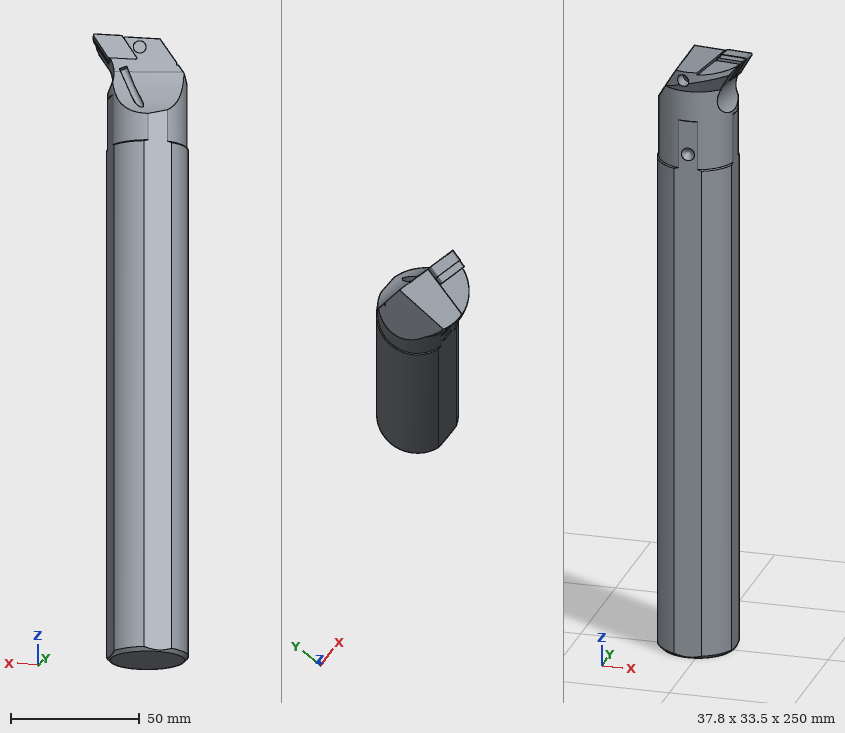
import cadquery as cq
import math


SHANK_RADIUS = 16.0
SHANK_TOP = 205.0
END_CHAMFER = 1.5
NECK_RADIUS = 15.5
NECK_TOP = 225.0
FLAT_DISTANCE = 15.0
FLARE_BOTTOM = 237.5
FLARE_ANGLE = 57.0
LIP_CENTRE = (3.3, -2.0)
LIP_RADIUS = 16.5
TOTAL_HEIGHT = 250.0

SLANT_ANGLE = 58.0
SLANT_START = 228.8

TIP_REACH = 21.8
RADIAL_TILT = 14.0
AXIAL_TILT = 5.0
LEAD_ANGLE = 3.0

POINT_ANGLE = 55.0
INSCRIBED_DIAMETER = 9.5
NOSE_RADIUS = 0.5
INSERT_THICKNESS = 4.8
SHIM_THICKNESS = 3.0
SHIM_INSET = 0.3

TOP_STEP = 0.5
SEAT_STEP = 1.5
SIDE_INSET = 0.5
RELIEF_RADIUS = 11.5
RELIEF_LEFT = 7.5
CHIP_FACE_LENGTH = 15.0
CHIP_FACE_RADIUS = 30.0
CHIP_FACE_SWEEP = 60.0

SCREW_DIAMETER = 5.0
SCREW_BACK = 17.5
SCREW_DROP = 4.8
SCREW_LENGTH = 18.8
SOCKET_DIAMETER = 3.0
SOCKET_DEPTH = 2.0

DIMPLE_DIAMETER = 5.3
DIMPLE_HEIGHT = 211.0
DIMPLE_DEPTH = 2.5
COOLANT_DIAMETER = 3.0
COOLANT_START = (3.8, 12.0, 213.8)
COOLANT_END = (10.8, 3.5, 236.3)

FAR = 50.0


def cos(degrees):
    return math.cos(math.radians(degrees))


def sin(degrees):
    return math.sin(math.radians(degrees))


def tan(degrees):
    return math.tan(math.radians(degrees))


ALONG = cq.Vector(cos(RADIAL_TILT), -sin(RADIAL_TILT), 0)
INWARD = cq.Vector(
    -sin(RADIAL_TILT) * cos(AXIAL_TILT),
    -cos(RADIAL_TILT) * cos(AXIAL_TILT),
    -sin(AXIAL_TILT),
)
UPWARD = INWARD.cross(ALONG)
NOSE_CENTRE = cq.Vector(
    TIP_REACH - NOSE_RADIUS * math.hypot(ALONG.x, UPWARD.x),
    0,
    TOTAL_HEIGHT - NOSE_RADIUS * UPWARD.z,
)
RAKE = cq.Plane(origin=NOSE_CENTRE, xDir=ALONG, normal=INWARD)
EDGE_LENGTH = INSCRIBED_DIAMETER / sin(POINT_ANGLE)
SIDE_ANGLE = LEAD_ANGLE + POINT_ANGLE


def step_back(point, length, angle):
    """Point reached by going a length backward along a direction of the insert frame."""
    return (point[0] - length * cos(angle), point[1] - length * sin(angle))


def diamond(start, thickness, inset=0.0):
    """Diamond plate from a depth below the rake face; an inset moves all its sides inward."""
    nose = NOSE_RADIUS - inset
    edge = (INSCRIBED_DIAMETER - 2 * inset) / sin(POINT_ANGLE)
    corner = step_back((0, 0), -nose / sin(POINT_ANGLE / 2), LEAD_ANGLE + POINT_ANGLE / 2)
    top_end = step_back(corner, edge, LEAD_ANGLE)
    side_end = step_back(corner, edge, SIDE_ANGLE)
    far_corner = step_back(top_end, edge, SIDE_ANGLE)
    plate = (
        cq.Workplane(RAKE)
        .workplane(offset=start)
        .polyline([corner, top_end, far_corner, side_end])
        .close()
        .extrude(thickness)
    )
    return plate.edges(cq.selectors.ParallelDirSelector(INWARD)).fillet(nose)


def holder_blank():
    """Round bar with flats, carrying a head that flares out to an off-centre lip."""
    neck_step = SHANK_RADIUS - NECK_RADIUS
    flare_width = (TOTAL_HEIGHT - FLARE_BOTTOM) / tan(FLARE_ANGLE)
    bar = (
        cq.Workplane("XZ")
        .polyline([
            (0, 0),
            (SHANK_RADIUS - END_CHAMFER, 0),
            (SHANK_RADIUS, END_CHAMFER),
            (SHANK_RADIUS, SHANK_TOP - neck_step),
            (NECK_RADIUS, SHANK_TOP),
            (NECK_RADIUS, NECK_TOP),
            (0, NECK_TOP),
        ])
        .close()
        .revolve(360, (0, 0), (0, 1))
    )
    flat_section = (
        cq.Workplane("XY")
        .center(FLAT_DISTANCE - FAR / 2, 0)
        .rect(FAR, 2 * FLAT_DISTANCE)
        .extrude(NECK_TOP)
    )
    head_base = (
        cq.Workplane("XY")
        .workplane(offset=NECK_TOP)
        .circle(NECK_RADIUS)
        .extrude(FLARE_BOTTOM - NECK_TOP)
    )
    flare = (
        cq.Workplane("XZ")
        .polyline([
            (0, FLARE_BOTTOM),
            (NECK_RADIUS, FLARE_BOTTOM),
            (NECK_RADIUS + flare_width, TOTAL_HEIGHT),
            (0, TOTAL_HEIGHT),
        ])
        .close()
        .revolve(360, (0, 0), (0, 1))
    )
    lip = (
        cq.Workplane("XY")
        .workplane(offset=FLARE_BOTTOM)
        .center(*LIP_CENTRE)
        .circle(LIP_RADIUS)
        .extrude(TOTAL_HEIGHT - FLARE_BOTTOM)
    )
    return bar.intersect(flat_section).union(head_base).union(flare.intersect(lip))


def slant_cut():
    """Removes the -X side of the head above a sloping plane."""
    run = FAR / tan(SLANT_ANGLE)
    return (
        cq.Workplane("XZ")
        .polyline([
            (-NECK_RADIUS, SLANT_START),
            (-NECK_RADIUS + run, SLANT_START + FAR),
            (-NECK_RADIUS - FAR, SLANT_START + FAR),
            (-NECK_RADIUS - FAR, SLANT_START),
        ])
        .close()
        .extrude(FAR, both=True)
    )


def chip_face_cut():
    """Clears the +Y side level with the rake face, then runs out in an arc down the bar."""
    profile = cq.Plane(origin=NOSE_CENTRE, xDir=-INWARD, normal=ALONG)
    arc_mid = (
        CHIP_FACE_RADIUS * (1 - cos(CHIP_FACE_SWEEP / 2)),
        -CHIP_FACE_LENGTH - CHIP_FACE_RADIUS * sin(CHIP_FACE_SWEEP / 2),
    )
    arc_end = (
        CHIP_FACE_RADIUS * (1 - cos(CHIP_FACE_SWEEP)),
        -CHIP_FACE_LENGTH - CHIP_FACE_RADIUS * sin(CHIP_FACE_SWEEP),
    )
    return (
        cq.Workplane(profile)
        .moveTo(0, FAR)
        .lineTo(0, -CHIP_FACE_LENGTH)
        .threePointArc(arc_mid, arc_end)
        .lineTo(FAR, arc_end[1])
        .lineTo(FAR, FAR)
        .close()
        .extrude(FAR, both=True)
    )


def top_cut(step, left):
    """Trims the head above a plane parallel to the insert's top edge, a step below it."""
    level = NOSE_RADIUS - step
    slope = tan(LEAD_ANGLE)
    return (
        cq.Workplane(RAKE)
        .polyline([(left, level + left * slope), (FAR, level + FAR * slope), (FAR, FAR), (left, FAR)])
        .close()
        .extrude(FAR, both=True)
    )


def relief_cut():
    """Clearance behind the insert's lower edge, ending in a round hollow."""
    wall = NOSE_RADIUS - SIDE_INSET
    normal = (sin(SIDE_ANGLE), -cos(SIDE_ANGLE))
    centre_x = RELIEF_RADIUS - RELIEF_LEFT
    centre_y = (normal[0] * centre_x - wall - RELIEF_RADIUS) / -normal[1]
    tangent = (centre_x - RELIEF_RADIUS * normal[0], centre_y - RELIEF_RADIUS * normal[1])
    above = (tangent[0] + FAR * cos(SIDE_ANGLE), tangent[1] + FAR * sin(SIDE_ANGLE))
    return (
        cq.Workplane(RAKE)
        .moveTo(*above)
        .lineTo(*tangent)
        .threePointArc(
            (centre_x - RELIEF_RADIUS, centre_y),
            (centre_x, centre_y - RELIEF_RADIUS),
        )
        .lineTo(FAR, centre_y - RELIEF_RADIUS)
        .lineTo(FAR, above[1])
        .close()
        .extrude(FAR, both=True)
    )


def screw_bore(start, diameter, length):
    """Cylinder on the screw axis, from a depth below the rake face."""
    return (
        cq.Workplane(RAKE)
        .workplane(offset=start)
        .center(-SCREW_BACK, -SCREW_DROP)
        .circle(diameter / 2)
        .extrude(length)
    )


def make_screw():
    """Plain screw with a round socket in its -Y end."""
    shaft = screw_bore(0, SCREW_DIAMETER, SCREW_LENGTH)
    return shaft.cut(screw_bore(SCREW_LENGTH - SOCKET_DEPTH, SOCKET_DIAMETER, SOCKET_DEPTH))


def dimple():
    """Cone sunk into the -Y flat of the neck."""
    centre = cq.Vector(0, -FLAT_DISTANCE, DIMPLE_HEIGHT)
    return cq.Workplane(cq.Solid.makeCone(DIMPLE_DIAMETER / 2, 0, DIMPLE_DEPTH, centre, cq.Vector(0, 1, 0)))


def coolant_hole():
    """Slanting drill that grazes the chip face on its way toward the insert."""
    start = cq.Vector(*COOLANT_START)
    run = cq.Vector(*COOLANT_END) - start
    return cq.Workplane(cq.Solid.makeCylinder(COOLANT_DIAMETER / 2, run.Length, start, run))


def make_insert():
    return diamond(0, INSERT_THICKNESS)


def make_shim():
    return diamond(INSERT_THICKNESS, SHIM_THICKNESS, SHIM_INSET)


def make_holder(insert, shim):
    """Holder with the insert and shim seated in its head and a through hole for the screw."""
    cuts = [
        slant_cut(),
        chip_face_cut(),
        top_cut(TOP_STEP, -FAR),
        top_cut(SEAT_STEP, -EDGE_LENGTH),
        relief_cut(),
        screw_bore(0, SCREW_DIAMETER, FAR),
        dimple(),
        coolant_hole(),
        insert,
        shim,
    ]
    body = holder_blank()
    for cut in cuts:
        body = body.cut(cut)
    return body


insert = make_insert()
shim = make_shim()
screw = make_screw()
holder = make_holder(insert, shim)

result = cq.Compound.makeCompound([holder.val(), insert.val(), shim.val(), screw.val()])